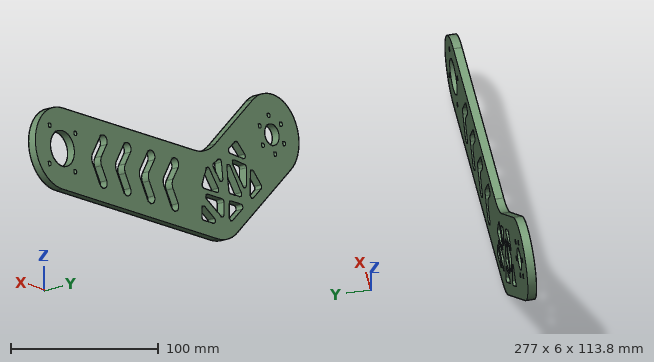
import cadquery as cq
import math


thickness = 6.0
overall_length = 277.0
overall_height = 113.8
end_radius = 28.5
crank_angle = math.radians(45)
inner_bend_radius = 30.0

hub_x = -(overall_length - 2 * end_radius)
hub_z = overall_height - 2 * end_radius
elbow_x = hub_x + hub_z / math.tan(crank_angle)

hub_bore_diameter = 15.0
hub_screw_count = 6
hub_screw_circle_radius = 13.3
hub_screw_start_angle = math.radians(15)

end_bore_diameter = 25.0
end_screw_spacing = 26.9
screw_diameter = 3.0

chevron_count = 4
chevron_width = 8.0
chevron_half_height = 14.7
chevron_angle = math.radians(60)
chevron_bend_radius = 6.6
first_chevron_x = -118.0
last_chevron_x = -43.0
chevron_pitch = (last_chevron_x - first_chevron_x) / (chevron_count - 1)

window_corner_radius = 2.0
windows = [
    [(-171.7, 34.5), (-182.5, 44.9), (-195.5, 33.2)],
    [(-175.8, 31.0), (-193.0, 29.5), (-193.0, 9.7)],
    [(-197.1, 30.5), (-210.0, 17.7), (-197.1, 5.0)],
    [(-169.2, 8.0), (-157.3, 22.5), (-166.5, 29.5)],
    [(-190.0, 6.0), (-175.0, 6.0), (-171.5, 31.8)],
    [(-152.0, 21.5), (-166.0, 4.0), (-146.0, 4.0)],
    [(-192.2, 1.0), (-175.3, -15.5), (-175.3, 1.0)],
    [(-145.0, 0.5), (-169.5, 0.5), (-169.5, -13.5)],
    [(-165.5, -18.5), (-146.5, -18.5), (-146.5, -7.0)],
]


def front_plane():
    """Workplane on the front face; extruding by -thickness fills the plate."""
    return cq.Workplane("XZ", origin=(0, -thickness / 2, 0))


def plate():
    """Cranked arm with round ends and a rounded elbow."""
    normal_x = end_radius * math.sin(crank_angle)
    normal_z = end_radius * math.cos(crank_angle)
    inner_corner_x = elbow_x + end_radius * math.tan(crank_angle / 2)
    inner_tangent = inner_bend_radius * math.tan(crank_angle / 2)
    bend_center_x = inner_corner_x + inner_tangent
    bend_center_z = end_radius + inner_bend_radius

    def elbow_arc_point(angle):
        return (elbow_x - end_radius * math.sin(angle), -end_radius * math.cos(angle))

    def inner_bend_point(angle):
        return (
            bend_center_x - inner_bend_radius * math.sin(angle),
            bend_center_z - inner_bend_radius * math.cos(angle),
        )

    return (
        front_plane()
        .moveTo(0, -end_radius)
        .threePointArc((end_radius, 0), (0, end_radius))
        .lineTo(*inner_bend_point(0))
        .threePointArc(inner_bend_point(crank_angle / 2), inner_bend_point(crank_angle))
        .lineTo(hub_x + normal_x, hub_z + normal_z)
        .threePointArc(
            (hub_x - normal_z, hub_z + normal_x),
            (hub_x - normal_x, hub_z - normal_z),
        )
        .lineTo(*elbow_arc_point(crank_angle))
        .threePointArc(elbow_arc_point(crank_angle / 2), elbow_arc_point(0))
        .close()
        .extrude(-thickness)
    )


def round_holes(centers, diameter):
    return front_plane().pushPoints(centers).circle(diameter / 2).extrude(-thickness)


def hub_screw_centers():
    centers = []
    for index in range(hub_screw_count):
        angle = hub_screw_start_angle + index * 2 * math.pi / hub_screw_count
        x = hub_x + hub_screw_circle_radius * math.cos(angle)
        z = hub_z + hub_screw_circle_radius * math.sin(angle)
        centers.append((x, z))
    return centers


def end_screw_centers():
    offset = end_screw_spacing / 2
    return [(x, z) for x in (-offset, offset) for z in (-offset, offset)]


def chevron(end_x):
    """Bent slot pointing toward +X, with round ends centred at end_x."""
    radius = chevron_width / 2
    side_x = radius * math.sin(chevron_angle)
    side_z = radius * math.cos(chevron_angle)
    apex_x = end_x + chevron_half_height / math.tan(chevron_angle)
    apex_offset = radius / math.sin(chevron_angle)
    top = chevron_half_height
    slot = (
        front_plane()
        .moveTo(apex_x + apex_offset, 0)
        .lineTo(end_x + side_x, top + side_z)
        .threePointArc((end_x - side_z, top + side_x), (end_x - side_x, top - side_z))
        .lineTo(apex_x - apex_offset, 0)
        .lineTo(end_x - side_x, side_z - top)
        .threePointArc((end_x - side_z, -top - side_x), (end_x + side_x, -top - side_z))
        .close()
        .extrude(-thickness)
    )
    bend_edges = cq.selectors.BoxSelector(
        (apex_x - chevron_width, -thickness, -side_z),
        (apex_x + chevron_width, thickness, side_z),
    )
    return slot.edges("|Y").edges(bend_edges).fillet(chevron_bend_radius)


def window(corners):
    """Triangular window with rounded corners."""
    triangle = front_plane().polyline(corners).close().extrude(-thickness)
    return triangle.edges("|Y").fillet(window_corner_radius)


result = plate()
result = result.cut(round_holes([(hub_x, hub_z)], hub_bore_diameter))
result = result.cut(round_holes([(0, 0)], end_bore_diameter))
result = result.cut(round_holes(hub_screw_centers() + end_screw_centers(), screw_diameter))
for chevron_index in range(chevron_count):
    result = result.cut(chevron(first_chevron_x + chevron_index * chevron_pitch))
for window_corners in windows:
    result = result.cut(window(window_corners))